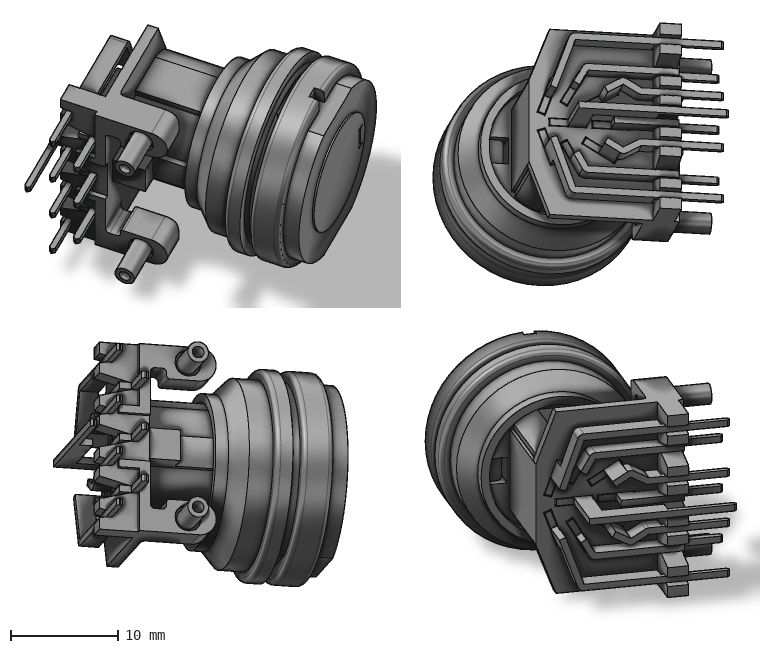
import cadquery as cq
import math


plate_back = 5.59
plate_front = 6.65
flange_back = 13.6
flange_front = 14.82
cone_end = 16.42
ring_1_back = 18.71
ring_1_front = 20.35
relief_x = 20.72
ring_2_back = 21.3
ring_2_front = 24.3
shell_end = 25.92
insert_end = 26.1

ring_radius = 10.0
ring_round = 0.47
shell_radius = 8.98
relief_radius = 8.67
flange_radius = 7.35
insert_face_radius = 5.87
shell_flat_z = 8.38
ring_notch_length = 1.02
ring_notch_width = 1.2

insert_radius = 6.55
insert_back = flange_front
keyway_half_width = 1.28
keyway_bottom = 4.52
key_tab_bottom = 4.85
key_tab_round = 0.45
keyway_depth = 0.78

barrel_radius = 5.98
barrel_flat_z = 5.77
barrel_flat_top = 1.55
barrel_flat_bottom = -3.0
barrel_top = 3.9
rib_half_width = 1.5
rib_bottom = -8.27
rib_step_x = 9.97

half_width = 9.08
foot_y = -ring_radius
plate_top = 4.23
plate_top_half_width = 4.02
plate_shoulder = 2.27
center_gap_half_width = 2.27
lip_thickness = 0.75
lip_back = 3.63

arm_width = 3.24
arm_end = 12.97
arm_top = -6.75
arm_root_round = 0.52
arm_end_round = 0.68
window_front = 8.2
window_z = 6.85
window_round = 0.45
window_lip_round = 0.31
tube_x = 10.28
tube_radius = 1.0
tube_bore_radius = 0.55
tube_end = -13.75
tube_recess_radius = 1.25
tube_recess_depth = 0.52

comb_back = 1.88
comb_top = -7.5
comb_bottom = -9.53
vee_half_width = 1.1
vee_root_x = 4.9
mouth_half_width = 0.47

pin_pitch = 2.5
pin_width = 0.65
tail_thickness = 0.57
front_tail_thickness = 0.65
tip_length = 0.23
tip_flat = 0.1
tip_y = -13.68
blade_depth = 1.8
contact_length = 1.7
blade_bottom = -7.15
front_blade_bottom = -9.63
column_1_x = 0.0
column_2_x = pin_pitch
column_3_x = plate_back - blade_depth
slot_length = 3.63
slot_width = 0.78
slot_depth = 0.52

straight_1_foot_y = 0.55
straight_3_foot_y = -3.52

inner_lower_bend = (-5.77, pin_pitch)
inner_upper_bend = (-4.12, 3.45)
inner_lean = 60
intermediate_bend = (-0.85, 2 * pin_pitch)
intermediate_lean = 30
short_leg = 1.88
outer_bend = (0.63, 3 * pin_pitch)
outer_lean = 20
outer_leg = 5.4

tube_z = 3 * pin_pitch


def block(x_range, y_range, z_range):
    """Box spanning three coordinate ranges."""
    sizes = [high - low for low, high in (x_range, y_range, z_range)]
    corner = (x_range[0], y_range[0], z_range[0])
    return cq.Workplane("XY").box(*sizes, centered=False).translate(corner)


def disc(x_start, x_end, radius):
    """Cylinder on the mating axis."""
    return cq.Workplane("YZ", origin=(x_start, 0, 0)).circle(radius).extrude(x_end - x_start)


def upright(y_start, y_end, radius, x, z):
    """Cylinder parallel to Y."""
    plane = cq.Workplane("XZ", origin=(x, y_end, z))
    return plane.circle(radius).extrude(y_end - y_start)


def both_sides(body):
    """Body together with its mirror image across the Z = 0 plane."""
    return body.union(body.mirror("XY"))


def plate_outline(x_start, x_end):
    """Prism with the outline of the back plate."""
    outline = [
        (foot_y, -half_width),
        (plate_shoulder, -half_width),
        (plate_top, -plate_top_half_width),
        (plate_top, plate_top_half_width),
        (plate_shoulder, half_width),
        (foot_y, half_width),
    ]
    return cq.Workplane("YZ", origin=(x_start, 0, 0)).polyline(outline).close().extrude(x_end - x_start)


def make_shell():
    profile = [
        (flange_back, 0),
        (flange_back, flange_radius),
        (flange_front, flange_radius),
        (cone_end, shell_radius),
        (ring_1_front, shell_radius),
        (relief_x, relief_radius),
        (ring_2_back, shell_radius),
        (shell_end, shell_radius),
        (shell_end, insert_face_radius),
        (insert_end, insert_face_radius),
        (insert_end, 0),
    ]
    shell = cq.Workplane("XY").polyline(profile).close().revolve(360, (0, 0, 0), (1, 0, 0))
    above_flat = block((relief_x, insert_end), (-ring_radius, ring_radius), (shell_flat_z, ring_radius))
    shell = shell.cut(both_sides(above_flat))

    ring_1 = disc(ring_1_back, ring_1_front, ring_radius).faces("<X").edges().fillet(ring_round)
    ring_2 = disc(ring_2_back, ring_2_front, ring_radius).edges().fillet(ring_round)
    notch = block(
        (ring_2_front - ring_notch_length, ring_2_front),
        (-ring_notch_width / 2, ring_notch_width / 2),
        (shell_flat_z, ring_radius),
    )
    return shell.union(ring_1).union(ring_2.cut(notch))


def make_insert_cuts():
    """Recess behind the insert, with a keyway that a tab nearly closes."""
    recess = disc(flange_back, insert_back, insert_radius)
    key_z = (-keyway_half_width, keyway_half_width)
    keyway = block((flange_back, insert_end), (keyway_bottom, insert_radius), key_z)
    keyway = keyway.intersect(disc(flange_back, insert_end, insert_radius))
    tab = block((insert_back + keyway_depth, insert_end), (key_tab_bottom, ring_radius), key_z)
    tab = tab.faces("<Y").edges("|X").fillet(key_tab_round)
    return recess.union(keyway.cut(tab))


def make_barrel():
    span = (plate_back, insert_back)
    flat_z = (-barrel_flat_z, barrel_flat_z)
    barrel = disc(*span, barrel_radius).intersect(block(span, (-barrel_radius, barrel_radius), flat_z))
    barrel = barrel.union(block(span, (barrel_flat_bottom, barrel_flat_top), flat_z))
    barrel = barrel.intersect(block(span, (-barrel_radius, barrel_top), flat_z))
    top_rib_z = (-plate_top_half_width, plate_top_half_width)
    barrel = barrel.union(block(span, (0, plate_top), top_rib_z))

    rib_z = (-rib_half_width, rib_half_width)
    back_rib = block((plate_back, rib_step_x), (rib_bottom, 0), rib_z)
    front_rib = block((rib_step_x, insert_back), (-insert_radius, 0), rib_z)
    front_rib = front_rib.intersect(disc(*span, insert_radius))
    return barrel.union(back_rib).union(front_rib)


def make_plate():
    plate = plate_outline(plate_back, plate_front)
    center_gap = block(
        (plate_back, plate_front),
        (foot_y, comb_bottom),
        (-center_gap_half_width, center_gap_half_width),
    )
    lip = block(
        (lip_back, plate_front),
        (foot_y, comb_bottom),
        (center_gap_half_width, center_gap_half_width + lip_thickness),
    )
    return plate.cut(center_gap).union(both_sides(lip))


def make_arm():
    arm_inner = half_width - arm_width
    arm_radius = arm_width / 2
    arm_middle_z = half_width - arm_radius
    round_start = arm_end - arm_radius

    from_below = (
        cq.Workplane("XZ", origin=(0, arm_top + arm_root_round, 0))
        .moveTo(plate_back, half_width)
        .lineTo(round_start, half_width)
        .threePointArc((arm_end, arm_middle_z), (round_start, arm_inner))
        .lineTo(window_front + window_lip_round, arm_inner)
        .tangentArcPoint((window_front, arm_inner + window_lip_round), relative=False)
        .lineTo(window_front, window_z - window_round)
        .tangentArcPoint((window_front - window_round, window_z), relative=False)
        .lineTo(plate_front + window_round, window_z)
        .tangentArcPoint((plate_front, window_z - window_round), relative=False)
        .lineTo(plate_back, window_z - window_round)
        .close()
        .extrude(arm_top + arm_root_round - foot_y)
    )
    from_side = (
        cq.Workplane("XY")
        .moveTo(plate_back, foot_y)
        .lineTo(arm_end, foot_y)
        .lineTo(arm_end, arm_top - arm_end_round)
        .tangentArcPoint((arm_end - arm_end_round, arm_top), relative=False)
        .lineTo(plate_front + arm_root_round, arm_top)
        .tangentArcPoint((plate_front, arm_top + arm_root_round), relative=False)
        .lineTo(plate_back, arm_top + arm_root_round)
        .close()
        .extrude(half_width)
    )
    arm = from_below.intersect(from_side)
    arm = arm.cut(upright(foot_y, foot_y + tube_recess_depth, tube_recess_radius, tube_x, tube_z))
    arm = arm.union(upright(tube_end, arm_top, tube_radius, tube_x, tube_z))
    return arm.cut(upright(tube_end, arm_top, tube_bore_radius, tube_x, tube_z))


def comb_notch(z, mouth_half, root_x, slot_end):
    """Notch with a tapered mouth and a straight slot as wide as a pin."""
    pin_half = pin_width / 2
    outline = [
        (comb_back, z - mouth_half),
        (root_x, z - pin_half),
        (slot_end, z - pin_half),
        (slot_end, z + pin_half),
        (root_x, z + pin_half),
        (comb_back, z + mouth_half),
    ]
    plane = cq.Workplane("XZ", origin=(0, comb_top, 0))
    return plane.polyline(outline).close().extrude(comb_top - comb_bottom)


def make_comb():
    comb = block((comb_back, plate_back), (comb_bottom, comb_top), (-half_width, half_width))
    for row in (-2, 0, 2):
        comb = comb.cut(comb_notch(row * pin_pitch, vee_half_width, vee_root_x, plate_back))
    slot_end = column_2_x + tail_thickness
    for row in (-3, -1, 1, 3):
        comb = comb.cut(comb_notch(row * pin_pitch, mouth_half_width, column_2_x, slot_end))
    return comb


def bar(start, end, x_range, width):
    """Straight bar between two (y, z) points."""
    run_y = end[0] - start[0]
    run_z = end[1] - start[1]
    angle = math.degrees(math.atan2(run_z, run_y))
    straight = block(x_range, (0, math.hypot(run_y, run_z)), (-width / 2, width / 2))
    return straight.rotate((0, 0, 0), (1, 0, 0), angle).translate((0, start[0], start[1]))


def make_tail(x_start, x_end, y_top, z):
    """Solder tail with a wedge-shaped tip."""
    middle = (x_start + x_end) / 2
    outline = [
        (x_start, y_top),
        (x_start, tip_y + tip_length),
        (middle - tip_flat / 2, tip_y),
        (middle + tip_flat / 2, tip_y),
        (x_end, tip_y + tip_length),
        (x_end, y_top),
    ]
    plane = cq.Workplane("XY", origin=(0, 0, z - pin_width / 2))
    return plane.polyline(outline).close().extrude(pin_width)


def direction(start, end):
    """Unit vector between two (y, z) points."""
    length = math.dist(start, end)
    return ((end[0] - start[0]) / length, (end[1] - start[1]) / length)


def shifted(point, vector, distance):
    """Point reached from a (y, z) point by a distance along a vector."""
    return (point[0] + vector[0] * distance, point[1] + vector[1] * distance)


def make_bend(corner, heading_in, heading_out, x_range):
    """Bend with a sharp inside corner and an outside round about it.

    Returns the bend and the length it takes from the straight on either side.
    """
    turn = heading_in[0] * heading_out[1] - heading_in[1] * heading_out[0]
    side = math.copysign(1, turn)
    trim = pin_width / 2 * math.tan(math.asin(abs(turn)) / 2)
    normal_in = (side * heading_in[1], -side * heading_in[0])
    normal_out = (side * heading_out[1], -side * heading_out[0])
    normal_middle = direction((0, 0), shifted(normal_in, normal_out, 1))

    inside = shifted(shifted(corner, heading_in, -trim), normal_in, -pin_width / 2)
    sector = (
        cq.Workplane("YZ", origin=(x_range[0], 0, 0))
        .moveTo(*inside)
        .lineTo(*shifted(inside, normal_in, pin_width))
        .threePointArc(
            shifted(inside, normal_middle, pin_width), shifted(inside, normal_out, pin_width)
        )
        .close()
        .extrude(x_range[1] - x_range[0])
    )
    return sector, trim


def make_blade(path, x_range):
    """Flat blade following a path of (y, z) points."""
    start = path[0]
    pieces = []
    for before, corner, after in zip(path, path[1:], path[2:]):
        heading_in = direction(before, corner)
        heading_out = direction(corner, after)
        sector, trim = make_bend(corner, heading_in, heading_out, x_range)
        pieces += [bar(start, shifted(corner, heading_in, -trim), x_range, pin_width), sector]
        start = shifted(corner, heading_out, trim)
    blade = bar(start, path[-1], x_range, pin_width)
    for piece in pieces:
        blade = blade.union(piece)
    return blade


def make_pin(x, path, tail_range):
    """Pin whose blade follows a path of (y, z) points from the tail up to the foot in the plate.

    Returns the pin and the slot that the plate needs around the foot.
    """
    foot = path[-1]
    heading = direction(path[-2], foot)
    slot_floor = plate_back + slot_depth
    pin = make_tail(*tail_range, *path[0])
    pin = pin.union(make_blade(path, (x, x + blade_depth)))
    contact_start = shifted(foot, heading, -contact_length)
    contact_end = shifted(foot, heading, contact_length)
    pin = pin.union(bar(contact_start, foot, (x, slot_floor), pin_width))
    pin = pin.union(bar(foot, contact_end, (plate_back, slot_floor), pin_width))
    slot = bar(
        shifted(foot, heading, -slot_length / 2),
        shifted(foot, heading, slot_length / 2),
        (plate_back, slot_floor),
        slot_width,
    )
    return pin, slot


def leaning_path(bottom, bends, lean, leg):
    """Path up through the bends, then along a leg that leans from -Z toward +Y."""
    angle = math.radians(lean)
    foot = shifted(bends[-1], (math.sin(angle), -math.cos(angle)), leg)
    return [(bottom, bends[0][1])] + bends + [foot]


tail_1 = (column_1_x, column_1_x + tail_thickness)
tail_2 = (column_2_x, column_2_x + tail_thickness)
tail_3 = (plate_back - front_tail_thickness, plate_back)

straight_1 = [(blade_bottom, 0), (straight_1_foot_y, 0)]
straight_3 = [(front_blade_bottom, 0), (straight_3_foot_y, 0)]
middle_pins = [make_pin(column_1_x, straight_1, tail_1), make_pin(column_3_x, straight_3, tail_3)]

inner = leaning_path(blade_bottom, [inner_lower_bend, inner_upper_bend], inner_lean, short_leg)
intermediate = leaning_path(front_blade_bottom, [intermediate_bend], intermediate_lean, short_leg)
outer = leaning_path(blade_bottom, [outer_bend], outer_lean, outer_leg)
side_pins = [
    make_pin(column_2_x, inner, tail_2),
    make_pin(column_3_x, intermediate, tail_3),
    make_pin(column_2_x, outer, tail_2),
]

result = make_shell().cut(make_insert_cuts())
for body in (make_barrel(), make_plate(), both_sides(make_arm()), make_comb()):
    result = result.union(body)

pins = middle_pins + [(both_sides(pin), both_sides(slot)) for pin, slot in side_pins]
for pin, slot in pins:
    result = result.cut(slot.cut(pin))
for pin, slot in pins:
    result = result.union(pin)